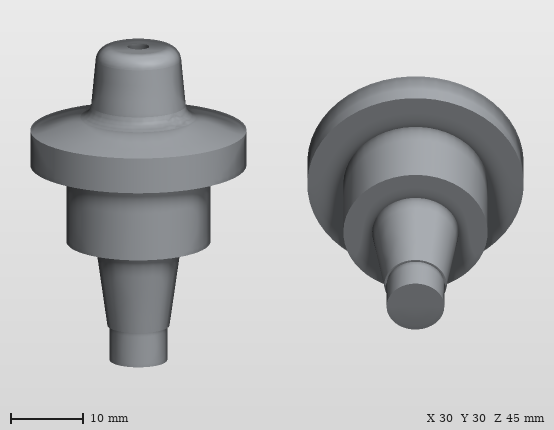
import cadquery as cq
import math

pin_diameter = 8.0
pin_height = 5.0
taper_top_diameter = 12.0
taper_height = 12.0
taper_angle = 8.0
collar_diameter = 20.0
collar_height = 11.0
flange_diameter = 30.0
flange_height = 5.0

total_height = 45.0
shoulder_angle = 15.0
nose_angle = 5.5
nose_top_diameter = 11.5
nose_top_fillet = 2.0
nose_root_fillet = 2.0

bore_diameter = 3.0
bore_depth = 10.0

taper_bottom_z = pin_height
collar_bottom_z = taper_bottom_z + taper_height
flange_bottom_z = collar_bottom_z + collar_height
shoulder_bottom_z = flange_bottom_z + flange_height

pin_radius = pin_diameter / 2
taper_top_radius = taper_top_diameter / 2
taper_bottom_radius = taper_top_radius - taper_height * math.tan(math.radians(taper_angle))
collar_radius = collar_diameter / 2
flange_radius = flange_diameter / 2
nose_top_radius = nose_top_diameter / 2

shoulder_slope = math.tan(math.radians(shoulder_angle))
nose_slope = math.tan(math.radians(nose_angle))
extended_nose_radius = nose_top_radius + (total_height - shoulder_bottom_z) * nose_slope
shoulder_rise = (
    (flange_radius - extended_nose_radius) * shoulder_slope / (1 - shoulder_slope * nose_slope)
)
nose_root_z = shoulder_bottom_z + shoulder_rise
nose_root_radius = extended_nose_radius - shoulder_rise * nose_slope


def make_body():
    """Stepped body with sharp corners, revolved about Z."""
    return (
        cq.Workplane("XZ")
        .lineTo(pin_radius, 0)
        .lineTo(pin_radius, taper_bottom_z)
        .lineTo(taper_bottom_radius, taper_bottom_z)
        .lineTo(taper_top_radius, collar_bottom_z)
        .lineTo(collar_radius, collar_bottom_z)
        .lineTo(collar_radius, flange_bottom_z)
        .lineTo(flange_radius, flange_bottom_z)
        .lineTo(flange_radius, shoulder_bottom_z)
        .lineTo(nose_root_radius, nose_root_z)
        .lineTo(nose_top_radius, total_height)
        .lineTo(0, total_height)
        .close()
        .revolve(360, (0, 0, 0), (0, 1, 0))
    )


def round_nose(body):
    """Fillet the nose where it meets the shoulder and around its flat top."""
    root_edge = cq.selectors.NearestToPointSelector((0, 0, nose_root_z))
    body = body.edges(root_edge).fillet(nose_root_fillet)
    return body.faces(">Z").edges().fillet(nose_top_fillet)


def make_bore():
    """Blind bore going down from the nose's flat top."""
    bore_bottom_z = total_height - bore_depth
    return (
        cq.Workplane("XY", origin=(0, 0, bore_bottom_z))
        .circle(bore_diameter / 2)
        .extrude(bore_depth)
    )


result = round_nose(make_body()).cut(make_bore())